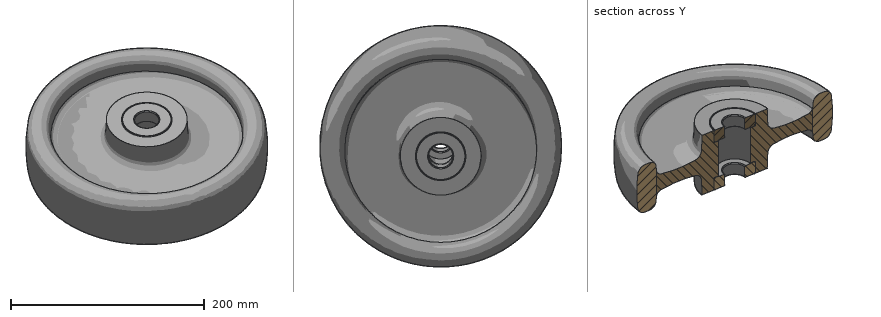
import cadquery as cq
import math


wheel_radius = 124.8
tyre_width = 60.0
hub_length = 75.0
half_tyre = tyre_width / 2
half_hub = hub_length / 2

crown_radius = 154.7
shoulder_radius = 10.0
lip_start_radius = 108.5
lip_radius = 9.0
lip_end_radius = 99.5
lip_end_height = 22.0
seat_radius = 98.8

seat_half_width = 14.5
web_outer_radius = 91.5
web_inner_radius = 50.2
web_edge_height = 10.0
web_dish_depth = 1.7
rim_fillet_sag = 1.2
hub_end_radius = 41.7
hub_root_radius = 42.5
hub_root_height = 19.0
hub_fillet_sag = 2.2
core_bore_radius = 20.0

bearing_radius = 26.0
bearing_bore_radius = 12.5
bearing_width = 15.0
bearing_chamfer = 1.0
bearing_inner_height = half_hub - bearing_width


def revolve_about_z(profile):
    return profile.close().revolve(360, (0, 0, 0), (0, 1, 0))


def make_tyre():
    crown_drop = crown_radius - math.sqrt(crown_radius**2 - half_tyre**2)
    side_radius = wheel_radius - crown_drop
    crowned_ring = revolve_about_z(
        cq.Workplane("XZ")
        .moveTo(seat_radius, -half_tyre)
        .lineTo(side_radius, -half_tyre)
        .threePointArc((wheel_radius, 0), (side_radius, half_tyre))
        .lineTo(seat_radius, half_tyre)
    )
    outer_edges = cq.selectors.RadiusNthSelector(-1)
    for side_face in (">Z", "<Z"):
        crowned_ring = crowned_ring.faces(side_face).edges(outer_edges).fillet(shoulder_radius)

    flare = revolve_about_z(
        cq.Workplane("XZ")
        .moveTo(seat_radius, seat_half_width)
        .lineTo(lip_end_radius, lip_end_height)
        .radiusArc((lip_start_radius, half_tyre), lip_radius)
        .lineTo(seat_radius, half_tyre)
    )
    return crowned_ring.cut(flare).cut(flare.mirror("XY"))


def make_core():
    upper_half = revolve_about_z(
        cq.Workplane("XZ")
        .moveTo(core_bore_radius, 0)
        .lineTo(core_bore_radius, bearing_inner_height)
        .lineTo(bearing_radius, bearing_inner_height)
        .lineTo(bearing_radius, half_hub)
        .lineTo(hub_end_radius, half_hub)
        .lineTo(hub_root_radius, hub_root_height)
        .sagittaArc((web_inner_radius, web_edge_height), -hub_fillet_sag)
        .sagittaArc((web_outer_radius, web_edge_height), -web_dish_depth)
        .sagittaArc((seat_radius, seat_half_width), -rim_fillet_sag)
        .lineTo(seat_radius, 0)
    )
    return upper_half.union(upper_half.mirror("XY"))


def make_bearing(bottom_height):
    return (
        cq.Workplane("XY")
        .workplane(offset=bottom_height)
        .circle(bearing_radius)
        .circle(bearing_bore_radius)
        .extrude(bearing_width)
        .faces("<Z or >Z")
        .edges()
        .chamfer(bearing_chamfer)
    )


tyre = make_tyre()
core = make_core()
bearings = [make_bearing(bottom_height) for bottom_height in (bearing_inner_height, -half_hub)]

bodies = [tyre, core, *bearings]
result = cq.Compound.makeCompound([body.solids().val() for body in bodies])